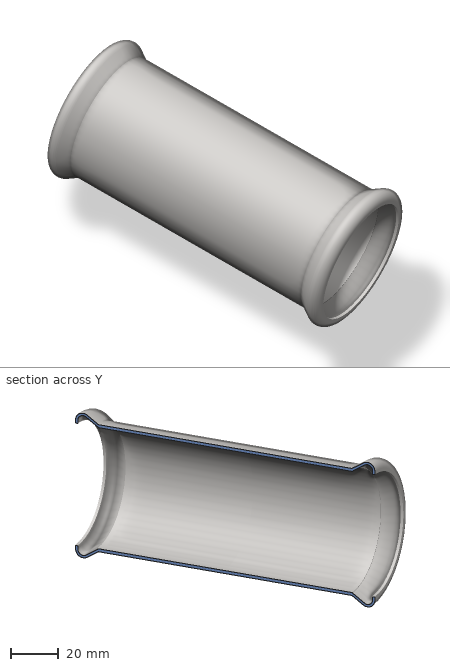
import cadquery as cq
import math

length = 140.0
body_radius = 57.5 / 2
bore_radius = 54.5 / 2

bead_outer_radius = 65.4 / 2
bead_roll_radius = 3.6
bead_center_radius = bead_outer_radius - bead_roll_radius
cone_length = 10.8

lip_radius = 55.0 / 2

shoulder_radius = lip_radius
wall = body_radius - shoulder_radius
hollow_roll_radius = bead_roll_radius - wall

cone_run = cone_length - bead_roll_radius
cone_drop = bead_center_radius - body_radius
cone_reach = math.hypot(cone_run, cone_drop)
cone_angle = math.atan2(cone_drop, cone_run) + math.asin(bead_roll_radius / cone_reach)

shoulder_depth = cone_length - wall * math.tan(cone_angle / 2)

middle = length / 2


def roll_point(radius, angle):
    """Point on a bead arc; the angle is measured from the crest towards the body."""
    return (
        bead_roll_radius - middle + radius * math.sin(angle),
        bead_center_radius + radius * math.cos(angle),
    )


def end_path():
    """Half section of the left end, from the body inwards around the bead and lip to the bore."""
    lip_angle = -math.pi / 2
    arc_middle = (lip_angle + cone_angle) / 2
    return (
        cq.Workplane("XY")
        .moveTo(0, body_radius)
        .lineTo(cone_length - middle, body_radius)
        .lineTo(*roll_point(bead_roll_radius, cone_angle))
        .threePointArc(
            roll_point(bead_roll_radius, arc_middle),
            roll_point(bead_roll_radius, lip_angle),
        )
        .lineTo(-middle, lip_radius)
        .lineTo(wall - middle, lip_radius)
        .lineTo(*roll_point(hollow_roll_radius, lip_angle))
        .threePointArc(
            roll_point(hollow_roll_radius, arc_middle),
            roll_point(hollow_roll_radius, cone_angle),
        )
        .lineTo(shoulder_depth - middle, shoulder_radius)
        .lineTo(shoulder_depth - middle, bore_radius)
        .lineTo(0, bore_radius)
    )


section = end_path().mirrorY()
result = section.revolve(360, (0, 0, 0), (1, 0, 0)).clean()